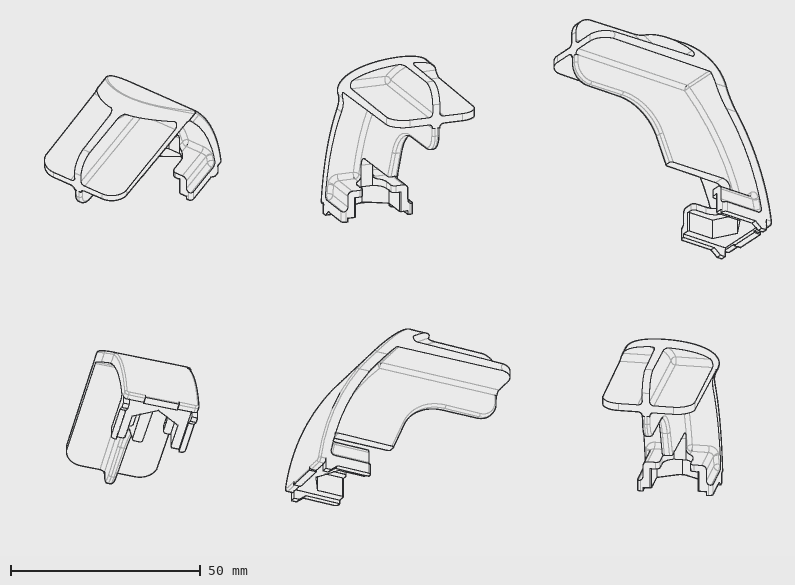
import cadquery as cq
import math

length = 57.15
top_z = 51.0

plate_radius = 68.3
plate_axis_z = -6.3
plate_thickness = 3.0
plate_edge_round = 0.5

head_half_width = 12.6
head_z = 41.5
head_tip_scale = 0.978
strip_half_width = 10.1
neck_drop = 3.9

blade_thickness = 2.0
blade_draft_degrees = 0.7
rib_depth = 9.35
blade_corner_radius = 5.0
inner_fillet = 1.15
rib_edge_round = 0.7

rib_foot_z = 16.55
rib_foot_y = 30.45
rib_bend_y = 23.95
rib_bend_radius = 13.15
rib_front_y = 49.4
rib_notch_radius = 2.45

bracket_front_y = 41.55
bracket_top_z = 10.0
bracket_half_width = 8.5
bracket_round = 1.25
flange_top_z = 4.5
flange_end_round = 1.0
bracket_floor_z = 2.6

bolt_y = 45.7
slot_half_width = 4.1
slot_mouth_round = 1.0
pocket_top_z = 8.1
nut_half_width = 6.2
nut_mouth_chamfer = 0.35

lip_y = 55.1
lip_bottom_z = 2.0
lip_corner_radius = 1.0
tab_half_width = 4.55
flange_bottom_z = 1.6
foot_toe_y = 53.55
foot_heel_y = 51.55

margin = 2.85
clearance = 0.03
search_reach = 0.05
tolerance = 0.005

wide = head_half_width + margin
inner_radius = plate_radius - plate_thickness
plate_axis_y = length - math.sqrt(plate_radius**2 - (lip_bottom_z - plate_axis_z) ** 2)
rib_bottom_z = head_z - rib_depth
draft_slope = math.tan(math.radians(blade_draft_degrees))


def outer_face_y(z):
    """Y of the outer plate face at a height."""
    return plate_axis_y + math.sqrt(plate_radius**2 - (z - plate_axis_z) ** 2)


def head_scale(y):
    """Size of the head outline: full at the widest place of the plate, smaller towards the free end."""
    return head_tip_scale + (1 - head_tip_scale) * y / outer_face_y(head_z)


head_half_height = (top_z - head_z) / head_scale(outer_face_y(top_z))
neck_angle = -math.asin(neck_drop / head_half_height)
neck_slope = math.atan(-head_half_width * math.tan(neck_angle) / head_half_height)


def box(x0, x1, y0, y1, z0, z1):
    """Box between two limits along each axis."""
    return cq.Workplane("XY").box(x1 - x0, y1 - y0, z1 - z0, centered=False).translate((x0, y0, z0))


def plate_cylinder(radius):
    """Solid cylinder about the axis of the curved plate."""
    circle = cq.Workplane("YZ").center(plate_axis_y, plate_axis_z).circle(radius)
    return circle.extrude(wide, both=True)


def rounded_prism(plane, corners, depth):
    """Symmetric prism of a polygon given as (u, v, corner radius)."""
    path = cq.Workplane(plane)
    previous = corners[-1:] + corners[:-1]
    following = corners[1:] + corners[:1]
    for index, (u, v, radius) in enumerate(corners):
        corner = cq.Vector(u, v)
        before = (cq.Vector(*previous[index][:2]) - corner).normalized()
        after = (cq.Vector(*following[index][:2]) - corner).normalized()
        half_angle = before.getAngle(after) / 2
        tangent_length = radius / math.tan(half_angle)
        arc_start = corner + before * tangent_length
        arc_end = corner + after * tangent_length
        bisector = (before + after).normalized()
        arc_middle = corner + bisector * (radius / math.sin(half_angle) - radius)
        draw_to = path.moveTo if index == 0 else path.lineTo
        path = draw_to(arc_start.x, arc_start.y)
        if radius > 0:
            path = path.threePointArc((arc_middle.x, arc_middle.y), (arc_end.x, arc_end.y))
    return path.close().extrude(depth, both=True)


def make_plate():
    """Curved plate, wider and taller than the finished part."""
    ring = plate_cylinder(plate_radius).cut(plate_cylinder(inner_radius))
    return ring.intersect(box(-wide, wide, 0, length + margin, 0, top_z + margin))


def blade_half_thickness(y):
    """Half the thickness of wing and rib at a distance from the free end."""
    return blade_thickness / 2 + draft_slope * y


def rib_slab():
    """Upright slab that thickens from the free end towards the plate."""
    tip = blade_half_thickness(0)
    root = blade_half_thickness(length)
    plan = cq.Workplane("XY").polyline([(-tip, 0), (tip, 0), (root, length), (-root, length)])
    return plan.close().extrude(top_z + margin)


def make_lower_rib():
    """Rib below the wing: side profile cut out of the slab that thickens towards the plate."""
    profile = [
        (0, head_z, 0),
        (0, rib_bottom_z, blade_corner_radius),
        (rib_bend_y, rib_bottom_z, rib_bend_radius),
        (rib_foot_y, rib_foot_z, 0),
        (rib_front_y, rib_foot_z, rib_notch_radius),
        (rib_front_y, pocket_top_z, 0),
        (length, pocket_top_z, 0),
        (length, head_z, 0),
    ]
    return rib_slab().intersect(rounded_prism("YZ", profile, wide))


def make_upper_rib():
    """Rib above the wing, taller than the finished part; the side outline trims it later."""
    return rib_slab().intersect(box(-wide, wide, 0, length, head_z, top_z + margin))


def rib_edge_waste():
    """Material outside the rounded free edges of the lower rib, up to the wing fillets."""
    rib = make_lower_rib()
    low_corner = (-wide, -search_reach, rib_foot_z + search_reach)
    high_corner = (wide, rib_foot_y, head_z - search_reach)
    free_edges = cq.selectors.BoxSelector(low_corner, high_corner)
    rounded = rib.edges(free_edges).edges("not |X").fillet(rib_edge_round)
    waste_top_z = head_z - blade_half_thickness(0) - inner_fillet
    return rib.cut(rounded).intersect(box(-wide, wide, 0, length, 0, waste_top_z))


def make_wing():
    """Flat wing, wider than the finished part; the outlines trim it later."""
    tip = blade_half_thickness(0)
    root = blade_half_thickness(length)
    section = cq.Workplane("YZ").polyline(
        [(0, head_z - tip), (0, head_z + tip), (length, head_z + root), (length, head_z - root)]
    )
    return section.close().extrude(wide, both=True)


def make_bracket():
    """Bracket block with flanges, bolt slot and nut pocket."""
    half_section = [
        (wide, 0, 0),
        (wide, flange_top_z, 0),
        (bracket_half_width, flange_top_z, bracket_round),
        (bracket_half_width, bracket_top_z, bracket_round),
    ]
    mirrored = [(-x, z, r) for x, z, r in reversed(half_section)]
    block = rounded_prism("XZ", half_section + mirrored, length)
    block = block.intersect(box(-wide, wide, bracket_front_y, length, 0, top_z))

    slot = box(-slot_half_width, slot_half_width, 0, bolt_y, pocket_top_z, top_z)
    slot_end = cq.Workplane("XY", origin=(0, bolt_y, pocket_top_z)).circle(slot_half_width)
    slot = slot.union(slot_end.extrude(top_z - pocket_top_z))

    nut_side_length = 2 * nut_half_width / math.sqrt(3)
    nut_apex_y = bolt_y + nut_side_length
    nut_side_y = bolt_y + nut_side_length / 2
    pocket = cq.Workplane("XY").polyline(
        [
            (-nut_half_width, 0),
            (nut_half_width, 0),
            (nut_half_width, nut_side_y),
            (0, nut_apex_y),
            (-nut_half_width, nut_side_y),
        ]
    )
    block = block.cut(slot).cut(pocket.close().extrude(pocket_top_z))
    slot_mouth = mouth_edges(slot_half_width, pocket_top_z, top_z)
    nut_mouth = mouth_edges(nut_half_width, 0, pocket_top_z)
    block = block.edges("|Z").edges(slot_mouth).fillet(slot_mouth_round)
    return block.edges("|Z").edges(nut_mouth).chamfer(nut_mouth_chamfer)


def mouth_edges(half_width, z0, z1):
    """Selector of the edges of an opening at the front of the bracket."""
    reach = half_width + search_reach
    low_corner = (-reach, bracket_front_y - search_reach, z0)
    high_corner = (reach, bracket_front_y + search_reach, z1)
    return cq.selectors.BoxSelector(low_corner, high_corner)


def axis_distance(point):
    """Distance of a point from the axis of the curved plate."""
    return math.hypot(point.y - plate_axis_y, point.z - plate_axis_z)


def is_inside_corner(edge):
    """True for an inside edge where wing, rib, bracket and plate meet."""
    middle = edge.positionAt(0.5)
    on_blank_side = abs(middle.x) > wide - search_reach
    on_blank_end = not bracket_floor_z < middle.z < top_z + margin - search_reach
    if on_blank_side or on_blank_end:
        return False
    half_thickness = blade_half_thickness(middle.y)
    on_plate = abs(axis_distance(middle) - inner_radius) < tolerance
    on_rib = abs(abs(middle.x) - half_thickness) < tolerance
    on_wing = abs(abs(middle.z - head_z) - half_thickness) < tolerance
    on_bracket = abs(middle.z - bracket_top_z) < tolerance and middle.y > rib_front_y
    return on_plate or on_rib and (on_wing or on_bracket)


def is_outer_rim(edge):
    """True for the border of the outer plate face, without its bottom end."""
    middle = edge.positionAt(0.5)
    on_outer_face = abs(axis_distance(middle) - plate_radius) < tolerance
    return on_outer_face and middle.z > lip_bottom_z + lip_corner_radius


def is_flange_end(edge):
    """True for an upright outer edge at the front of a flange."""
    middle = edge.positionAt(0.5)
    return abs(middle.y - bracket_front_y) < tolerance and abs(middle.x) > strip_half_width - tolerance


def outline_wire(y):
    """Straight strip, concave necks and elliptic head at one place along Y."""
    half_width = head_half_width * head_scale(y)
    half_height = head_half_height * head_scale(y)
    neck_half_width = half_width * math.cos(neck_angle)
    neck_top_z = head_z + half_height * math.sin(neck_angle)
    neck_bottom_z = neck_top_z - (neck_half_width - strip_half_width) / math.tan(neck_slope / 2)
    arc_start = math.degrees(neck_angle)
    return (
        cq.Workplane("XZ", origin=(0, y, 0))
        .moveTo(-strip_half_width, 0)
        .lineTo(strip_half_width, 0)
        .lineTo(strip_half_width, neck_bottom_z)
        .tangentArcPoint((neck_half_width, neck_top_z), relative=False)
        .ellipseArc(half_width, half_height, arc_start, 180 - arc_start)
        .tangentArcPoint((-strip_half_width, neck_bottom_z), relative=False)
        .close()
        .val()
    )


def front_outline():
    """Body along Y that tapers the head, the wing tips and the top of the rib."""
    ruled = True
    return cq.Workplane(cq.Solid.makeLoft([outline_wire(0), outline_wire(length + margin)], ruled))


def top_outline():
    """Prism along Z that rounds the free corners of the wing."""
    corners = [
        (head_half_width * head_scale(0) + clearance, 0, blade_corner_radius),
        (head_half_width * head_scale(length) + clearance, length + margin, 0),
    ]
    mirrored = [(-x, y, r) for x, y, r in reversed(corners)]
    return rounded_prism("XY", corners + mirrored, length)


def side_outline():
    """Prism along X with the rounded rib top and the profile of the feet."""
    return rounded_prism(
        "YZ",
        [
            (0, flange_bottom_z, 0),
            (foot_heel_y, flange_bottom_z, 0),
            (foot_toe_y, 0, 0),
            (lip_y, 0, 0),
            (lip_y, flange_bottom_z, 0),
            (length, flange_bottom_z, 0),
            (length, head_z + head_half_height * head_scale(length) + clearance, 0),
            (0, head_z + head_half_height * head_scale(0) + clearance, blade_corner_radius),
        ],
        wide,
    )


def underside():
    """Space below the bracket floor, and below the lip around its middle tab."""
    floor = box(-bracket_half_width, bracket_half_width, 0, lip_y, 0, bracket_floor_z)
    lip_corners = [
        (-strip_half_width, lip_bottom_z, lip_corner_radius),
        (strip_half_width, lip_bottom_z, lip_corner_radius),
        (strip_half_width, top_z, 0),
        (-strip_half_width, top_z, 0),
    ]
    lip = rounded_prism("XZ", lip_corners, 2 * length)
    tab = box(-tab_half_width, tab_half_width, 0, 2 * length, 0, top_z)
    below_lip = box(-wide, wide, lip_y, length + margin, 0, lip_bottom_z + lip_corner_radius)
    return floor.union(below_lip.cut(lip).cut(tab))


plate_overlap = plate_thickness / 4
inside = plate_cylinder(inner_radius + plate_overlap)
body = make_plate()
for piece in (make_upper_rib(), make_lower_rib(), make_wing(), make_bracket()):
    body = body.union(piece.intersect(inside))
body = body.edges().filter(is_inside_corner).fillet(inner_fillet)
body = body.cut(rib_edge_waste()).cut(underside())
body = body.intersect(side_outline()).intersect(top_outline()).intersect(front_outline())
body = body.edges().filter(is_flange_end).fillet(flange_end_round)
result = body.edges().filter(is_outer_rim).fillet(plate_edge_round)